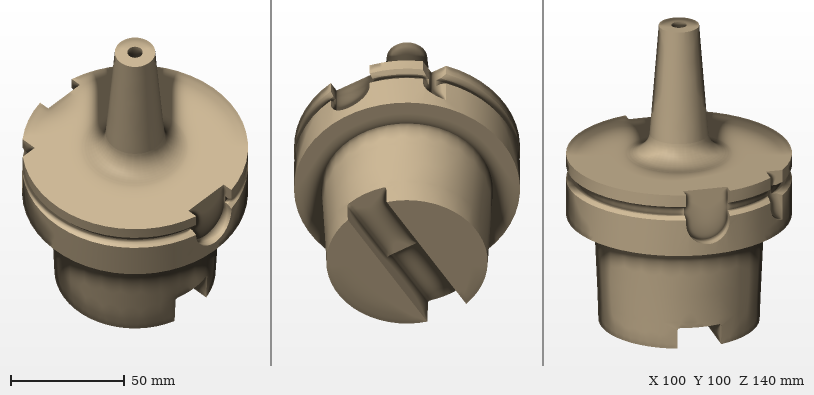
import cadquery as cq
import math

total_height = 140.0
flange_bottom = 50.0
flange_top = 79.0

flange_radius = 50.0
groove_floor_radius = 46.0
groove_center_height = 70.1
groove_mouth_width = 6.5
groove_floor_width = 3.9
groove_lip_chamfer = 2.2

shank_top_radius = 38.0
shank_bottom_radius = 35.7

nose_tip_radius = 9.0
nose_half_angle = math.radians(4.5)
nose_root_fillet = 10.2
bore_radius = 3.4
bore_depth = 28.0

notch_width = 20.0
wide_notch_width = 22.3
notch_bottom = 55.0
notch_floor_distance = 44.0
corner_notch_offset = 31.4

drive_slot_width = 20.0
shallow_slot_height = 10.0
deep_slot_height = 15.0
drive_slot_fillet = 1.1


def revolved_body():
    """Shank, grooved flange and filleted nose turned about Z."""
    cos_a = math.cos(nose_half_angle)
    sin_a = math.sin(nose_half_angle)
    fillet_start_height = flange_top + nose_root_fillet * (1 - sin_a)
    nose_length = total_height - fillet_start_height
    nose_root_radius = nose_tip_radius + nose_length * math.tan(nose_half_angle)
    fillet_center_radius = nose_root_radius + nose_root_fillet * cos_a
    fillet_center_height = flange_top + nose_root_fillet

    mid_angle = (math.pi / 2 + nose_half_angle) / 2
    fillet_middle = (
        fillet_center_radius - nose_root_fillet * math.cos(mid_angle),
        fillet_center_height - nose_root_fillet * math.sin(mid_angle),
    )
    return (
        cq.Workplane("XZ")
        .lineTo(shank_bottom_radius, 0)
        .lineTo(shank_top_radius, flange_bottom)
        .lineTo(flange_radius, flange_bottom)
        .lineTo(flange_radius, groove_center_height - groove_mouth_width / 2)
        .lineTo(flange_radius - groove_lip_chamfer, groove_center_height - groove_floor_width / 2)
        .lineTo(groove_floor_radius, groove_center_height - groove_floor_width / 2)
        .lineTo(groove_floor_radius, groove_center_height + groove_floor_width / 2)
        .lineTo(flange_radius - groove_lip_chamfer, groove_center_height + groove_floor_width / 2)
        .lineTo(flange_radius, groove_center_height + groove_mouth_width / 2)
        .lineTo(flange_radius, flange_top)
        .lineTo(fillet_center_radius, flange_top)
        .threePointArc(fillet_middle, (nose_root_radius, fillet_start_height))
        .lineTo(nose_tip_radius, total_height)
        .lineTo(0, total_height)
        .close()
        .revolve(360, (0, 0, 0), (0, 1, 0))
    )


def rim_notch(width, center_y, floor_x, direction):
    """Cutter running outward along X from floor_x, open at the top, round at the bottom."""
    radius = width / 2
    arc_center_height = notch_bottom + radius
    return (
        cq.Workplane("YZ", origin=(floor_x, 0, 0))
        .moveTo(center_y - radius, flange_top)
        .lineTo(center_y - radius, arc_center_height)
        .threePointArc((center_y, notch_bottom), (center_y + radius, arc_center_height))
        .lineTo(center_y + radius, flange_top)
        .close()
        .extrude(direction * flange_radius)
    )


def drive_slot(height, direction):
    """Cutter from the axis outward along X, with rounded upper corners."""
    return (
        cq.Workplane("XY")
        .box(flange_radius, drive_slot_width, height, centered=(False, True, False))
        .edges("|X and >Z")
        .fillet(drive_slot_fillet)
        .rotate((0, 0, 0), (0, 0, 1), 0 if direction > 0 else 180)
    )


bore = cq.Workplane("XY", origin=(0, 0, total_height)).circle(bore_radius).extrude(-bore_depth)
corner_notch_center_y = -(corner_notch_offset + notch_width / 2)

result = (
    revolved_body()
    .cut(bore)
    .cut(rim_notch(notch_width, 0, -notch_floor_distance, -1))
    .cut(rim_notch(wide_notch_width, 0, notch_floor_distance, 1))
    .cut(rim_notch(notch_width, corner_notch_center_y, -corner_notch_offset, -1))
    .cut(drive_slot(shallow_slot_height, -1))
    .cut(drive_slot(deep_slot_height, 1))
)